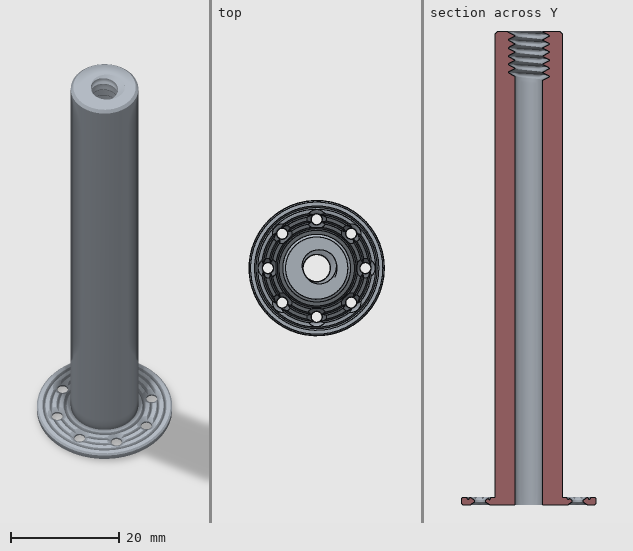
import cadquery as cq
import math

TOTAL_HEIGHT = 87.5
ROD_DIAMETER = 12.5
ROD_CHAMFER = 0.5
FLANGE_DIAMETER = 25.0
FLANGE_THICKNESS = 1.5
FLANGE_CHAMFER = 0.3

HOLE_COUNT = 8
HOLE_DIAMETER = 2.0
HOLE_CIRCLE_RADIUS = 9.0
COUNTERSINK_DIAMETER = 3.6
COUNTERSINK_ANGLE = 110.0

GROOVE_COUNT = 4
GROOVE_FIRST_RADIUS = 7.28
GROOVE_PITCH = 1.3
GROOVE_WIDTH = 0.6
GROOVE_DEPTH = 0.5

BORE_DIAMETER = 5.0
THREAD_ROOT_DIAMETER = 7.5
THREAD_PITCH = 1.5
THREAD_TURNS = 6
THREAD_RUNOUT_TURNS = 1
THREAD_ANGLE_AT_TOP = 30.0
THREAD_ROOT_FLAT = 0.1
THREAD_CREST_FLAT = 0.1
THREAD_OVERLAP = 0.2


def flange():
    """Round base plate with both rims chamfered."""
    plate = cq.Workplane("XY").circle(FLANGE_DIAMETER / 2).extrude(FLANGE_THICKNESS)
    return plate.edges().chamfer(FLANGE_CHAMFER)


def rod():
    """Upright cylinder with a chamfered upper rim."""
    bar = cq.Workplane("XY").circle(ROD_DIAMETER / 2).extrude(TOTAL_HEIGHT)
    return bar.faces(">Z").edges().chamfer(ROD_CHAMFER)


def ring_groove(radius):
    """V-section ring that cuts into the upper face of the flange."""
    half_width = GROOVE_WIDTH / 2
    section = (
        cq.Workplane("XZ")
        .moveTo(radius - half_width, FLANGE_THICKNESS)
        .lineTo(radius, FLANGE_THICKNESS - GROOVE_DEPTH)
        .lineTo(radius + half_width, FLANGE_THICKNESS)
        .close()
    )
    return section.revolve(360, (0, 0, 0), (0, 1, 0))


def bore():
    """Straight round bore through the whole height."""
    return cq.Workplane("XY").circle(BORE_DIAMETER / 2).extrude(TOTAL_HEIGHT)


def bore_thread():
    """Helical groove of trapezoid section in the bore wall, running out through the upper end."""
    bore_radius = BORE_DIAMETER / 2
    root_radius = THREAD_ROOT_DIAMETER / 2
    inner_radius = bore_radius - THREAD_OVERLAP
    root_half = THREAD_ROOT_FLAT / 2
    mouth_half = (THREAD_PITCH - THREAD_CREST_FLAT) / 2
    length = (THREAD_TURNS + THREAD_RUNOUT_TURNS) * THREAD_PITCH
    path = cq.Wire.makeHelix(THREAD_PITCH, length, bore_radius)
    section = (
        cq.Workplane("XZ")
        .moveTo(inner_radius, -mouth_half)
        .lineTo(bore_radius, -mouth_half)
        .lineTo(root_radius, -root_half)
        .lineTo(root_radius, root_half)
        .lineTo(bore_radius, mouth_half)
        .lineTo(inner_radius, mouth_half)
        .close()
    )
    groove = section.sweep(path, isFrenet=True)
    groove = groove.rotate((0, 0, 0), (0, 0, 1), THREAD_ANGLE_AT_TOP)
    return groove.translate((0, 0, TOTAL_HEIGHT - THREAD_TURNS * THREAD_PITCH))


def screw_holes():
    """Ring of holes countersunk from both faces of the flange, as one cutting body."""
    hole_radius = HOLE_DIAMETER / 2
    sink_radius = COUNTERSINK_DIAMETER / 2
    sink_depth = (sink_radius - hole_radius) / math.tan(math.radians(COUNTERSINK_ANGLE / 2))
    section = (
        cq.Workplane("XZ")
        .lineTo(sink_radius, 0)
        .lineTo(hole_radius, sink_depth)
        .lineTo(hole_radius, FLANGE_THICKNESS - sink_depth)
        .lineTo(sink_radius, FLANGE_THICKNESS)
        .lineTo(0, FLANGE_THICKNESS)
        .close()
    )
    cutter = section.revolve(360, (0, 0, 0), (0, 1, 0)).val()
    places = cq.Workplane("XY").polarArray(HOLE_CIRCLE_RADIUS, 0, 360, HOLE_COUNT)
    return places.eachpoint(lambda place: cutter.moved(place), combine=False)


result = flange().union(rod())
for index in range(GROOVE_COUNT):
    result = result.cut(ring_groove(GROOVE_FIRST_RADIUS + index * GROOVE_PITCH))
result = result.cut(screw_holes())
result = result.cut(bore())
result = result.cut(bore_thread())